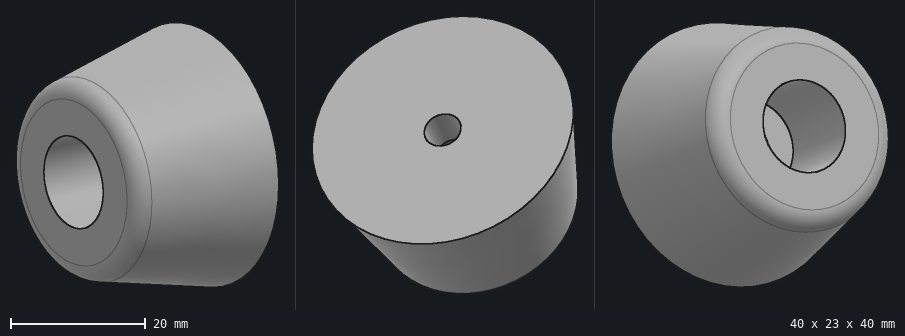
import cadquery as cq

base_diameter = 40.0
tip_diameter = 30.0
height = 23.0
tip_fillet = 3.0

bore_diameter = 5.6
counterbore_diameter = 14.0
counterbore_depth = 16.0


def tapered_body():
    """Solid cone frustum from the wide face at Y = 0 to the rounded tip at -Y."""
    body = (
        cq.Workplane("XZ")
        .circle(base_diameter / 2)
        .workplane(offset=height)
        .circle(tip_diameter / 2)
        .loft(ruled=True)
    )
    return body.faces("<Y").edges().fillet(tip_fillet)


def stepped_bore(body):
    """Cut the through hole and its counterbore from the tip face."""
    return (
        body.faces("<Y")
        .workplane(centerOption="CenterOfMass")
        .cboreHole(bore_diameter, counterbore_diameter, counterbore_depth)
    )


result = stepped_bore(tapered_body())